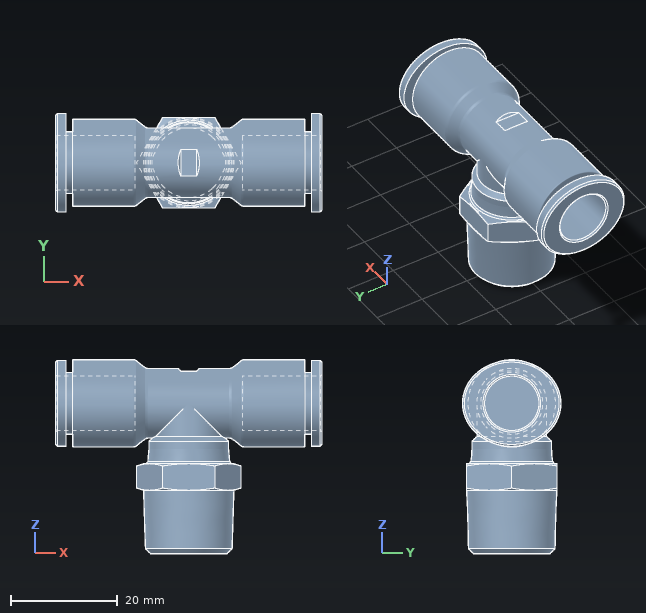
import cadquery as cq
import math


RUN_LENGTH = 50.0
SOCKET_RADIUS = 8.2
WAIST_RADIUS = 6.55
SHOULDER_OUTER_X = 10.05
SHOULDER_INNER_X = 7.95
SHOULDER_BLEND = 0.9
SOCKET_EDGE_FILLET = 0.2

COLLAR_WIDTH = 18.5
COLLAR_HEIGHT = 16.15
COLLAR_THICKNESS = 2.0
COLLAR_CHAMFER = 0.35
NECK_RADIUS = 5.82
NECK_LENGTH = 1.2
SOCKET_END_X = RUN_LENGTH / 2 - COLLAR_THICKNESS - NECK_LENGTH

BORE_RADIUS = 5.1
BORE_CHAMFER = 0.3
BORE_FLOOR_X = SHOULDER_OUTER_X

RELIEF_DEPTH = 0.5
RELIEF_FLOOR_LENGTH = 3.0

OVERALL_HEIGHT = 36.45
STUD_BOTTOM_Z = SOCKET_RADIUS - OVERALL_HEIGHT
FLARE_TOP_Z = -6.2
FLARE_BOTTOM_Z = -7.15
FLARE_RADIUS = 7.5
SKIRT_TOP_Z = -8.65
SKIRT_BOTTOM_Z = -10.9
SKIRT_RADIUS = 7.7
HEX_TOP_Z = -11.3
HEX_BOTTOM_Z = -16.35
HEX_ACROSS_FLATS = 17.0
SKIRT_FOOT_RADIUS = 8.0
HEX_FACE_RADIUS = 8.4
HEX_CORNER_DROP = 0.45
STUD_TOP_RADIUS = 8.5
STUD_TAPER = 1 / 16
STUD_CHAMFER = 1.0


def revolve_about_x(points):
    """Revolve an (x, radius) outline about the X axis."""
    return cq.Workplane("XY").polyline(points).close().revolve(360, (0, 0, 0), (1, 0, 0))


def revolve_about_z(points):
    """Revolve a (radius, z) outline about the Z axis."""
    return cq.Workplane("XZ").polyline(points).close().revolve(360, (0, 0, 0), (0, 1, 0))


def edge_band(x):
    """Opposite corners of a thin box around the circular edge of the run at x."""
    half_width = 0.1
    near_corner = (x - half_width, -SOCKET_RADIUS, -SOCKET_RADIUS)
    far_corner = (x + half_width, SOCKET_RADIUS, SOCKET_RADIUS)
    return near_corner, far_corner


def both_ends(half):
    """Join a feature of the +X end with its mirror image at the -X end."""
    return half.union(half.mirror("YZ"))


def make_run_body():
    """Waist with a shoulder and a socket on either side, before boring."""
    right_side = [
        (SHOULDER_INNER_X, WAIST_RADIUS),
        (SHOULDER_OUTER_X, SOCKET_RADIUS),
        (SOCKET_END_X, SOCKET_RADIUS),
        (SOCKET_END_X, 0),
    ]
    left_side = [(-x, radius) for x, radius in reversed(right_side)]
    body = revolve_about_x(left_side + right_side)
    for shoulder_x in (SHOULDER_INNER_X, SHOULDER_OUTER_X):
        for x in (-shoulder_x, shoulder_x):
            band = cq.selectors.BoxSelector(*edge_band(x))
            body = body.edges(band).edges("%CIRCLE").fillet(SHOULDER_BLEND)
    return body.faces("<X or >X").edges().fillet(SOCKET_EDGE_FILLET)


def make_collar():
    """Oval release collar with the round neck that carries it."""
    neck = cq.Workplane("YZ", origin=(SOCKET_END_X, 0, 0)).circle(NECK_RADIUS).extrude(NECK_LENGTH)
    collar = (
        cq.Workplane("YZ", origin=(SOCKET_END_X + NECK_LENGTH, 0, 0))
        .ellipse(COLLAR_WIDTH / 2, COLLAR_HEIGHT / 2)
        .extrude(COLLAR_THICKNESS)
        .faces(">X").edges().chamfer(COLLAR_CHAMFER)
    )
    return neck.union(collar)


def make_bore():
    """Cutter for one blind tube bore with a chamfered mouth."""
    end_x = RUN_LENGTH / 2
    return revolve_about_x([
        (BORE_FLOOR_X, 0),
        (BORE_FLOOR_X, BORE_RADIUS),
        (end_x - BORE_CHAMFER, BORE_RADIUS),
        (end_x, BORE_RADIUS + BORE_CHAMFER),
        (end_x, 0),
    ])


def make_relief():
    """Cutter for the shallow relief with 45 degree ends on top of the waist."""
    half_floor = RELIEF_FLOOR_LENGTH / 2
    floor_z = WAIST_RADIUS - RELIEF_DEPTH
    return (
        cq.Workplane("XZ")
        .polyline([
            (-half_floor, floor_z),
            (half_floor, floor_z),
            (half_floor + RELIEF_DEPTH, WAIST_RADIUS),
            (-half_floor - RELIEF_DEPTH, WAIST_RADIUS),
        ])
        .close()
        .extrude(WAIST_RADIUS, both=True)
    )


def make_branch():
    """Round parts of the branch above and below the hexagon.

    The plain upper length has the radius of the waist, so the two cylinders meet in a mitre.
    """
    stud_length = HEX_BOTTOM_Z - STUD_BOTTOM_Z
    stud_end_radius = STUD_TOP_RADIUS - STUD_TAPER / 2 * (stud_length - STUD_CHAMFER)
    return revolve_about_z([
        (0, 0),
        (WAIST_RADIUS, 0),
        (WAIST_RADIUS, FLARE_TOP_Z),
        (FLARE_RADIUS, FLARE_BOTTOM_Z),
        (FLARE_RADIUS, SKIRT_TOP_Z),
        (SKIRT_RADIUS, SKIRT_BOTTOM_Z),
        (SKIRT_FOOT_RADIUS, HEX_TOP_Z),
        (SKIRT_FOOT_RADIUS, HEX_BOTTOM_Z),
        (STUD_TOP_RADIUS, HEX_BOTTOM_Z),
        (stud_end_radius, STUD_BOTTOM_Z + STUD_CHAMFER),
        (stud_end_radius - STUD_CHAMFER, STUD_BOTTOM_Z),
        (0, STUD_BOTTOM_Z),
    ])


def make_hexagon():
    """Hexagon with corners on X, chamfered by a cone on both faces."""
    across_corners = HEX_ACROSS_FLATS / math.cos(math.pi / 6)
    corner_radius = across_corners / 2
    prism = (
        cq.Workplane("XY", origin=(0, 0, HEX_BOTTOM_Z))
        .polygon(6, across_corners)
        .extrude(HEX_TOP_Z - HEX_BOTTOM_Z)
    )
    envelope = revolve_about_z([
        (0, HEX_TOP_Z),
        (HEX_FACE_RADIUS, HEX_TOP_Z),
        (corner_radius, HEX_TOP_Z - HEX_CORNER_DROP),
        (corner_radius, HEX_BOTTOM_Z + HEX_CORNER_DROP),
        (HEX_FACE_RADIUS, HEX_BOTTOM_Z),
        (0, HEX_BOTTOM_Z),
    ])
    return prism.intersect(envelope)


run = make_run_body().union(both_ends(make_collar()))
branch = make_branch().union(make_hexagon())
result = run.union(branch).cut(both_ends(make_bore())).cut(make_relief())